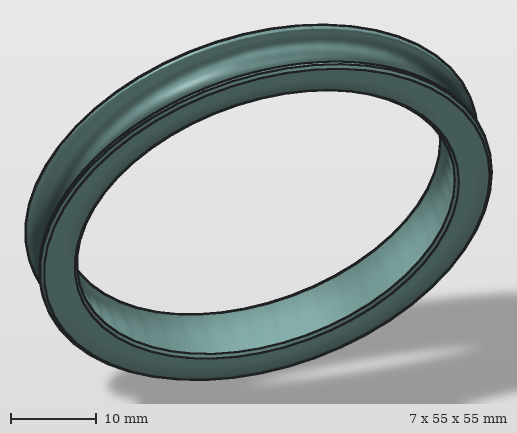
import cadquery as cq

outer_radius = 27.5
bore_radius = 23.0
width = 7.0
groove_radius = 2.5
groove_lip_radius = 0.5
chamfer = 0.4

half_width = width / 2
groove_bottom = outer_radius - groove_radius


def ring_blank():
    """Plain ring centred on the origin, with all four rims chamfered."""
    ring = cq.Workplane("YZ").circle(outer_radius).circle(bore_radius).extrude(half_width, both=True)
    return ring.faces("<X or >X").edges().chamfer(chamfer)


def groove_cutter():
    """Round-bottomed channel around the rim, with its arc centred on the outer diameter."""
    return (
        cq.Workplane("XY")
        .moveTo(-groove_radius, outer_radius)
        .threePointArc((0, groove_bottom), (groove_radius, outer_radius))
        .lineTo(groove_radius, outer_radius + groove_radius)
        .lineTo(-groove_radius, outer_radius + groove_radius)
        .close()
        .revolve(360, (0, 0, 0), (1, 0, 0))
    )


def round_groove_lips(ring):
    """Round both edges where the groove meets the outer lands."""
    tolerance = 0.05
    reach = groove_radius + tolerance
    lip_zone = cq.selectors.BoxSelector(
        (-reach, -outer_radius, -outer_radius),
        (reach, outer_radius, outer_radius),
    )
    return ring.edges("%CIRCLE").edges(lip_zone).edges("<X or >X").fillet(groove_lip_radius)


grooved_ring = ring_blank().cut(groove_cutter())
result = round_groove_lips(grooved_ring)